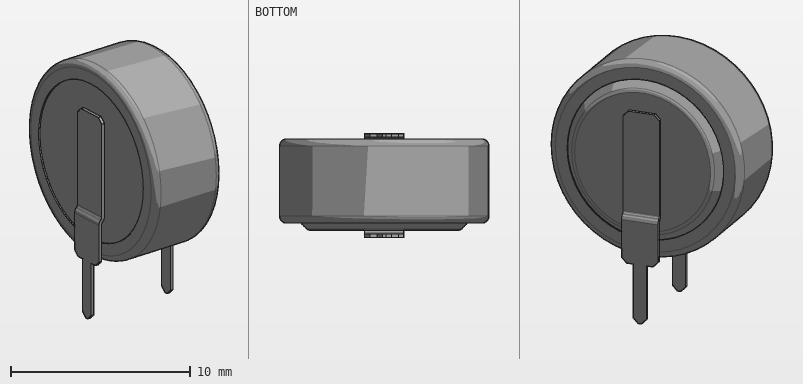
import cadquery as cq
import math


can_radius = 5.85
rim_fillet = 0.4

core_radius = 4.75
core_length = 5.0
cap_projection = 0.4
cap_edge_fillet = 0.3

sheet_thickness = 0.2
joggle_step = sheet_thickness
inner_bend_radius = sheet_thickness
bend_radius = inner_bend_radius + sheet_thickness / 2
bend_angle = math.radians(45)
terminal_width = 2.2
leg_width = 0.8
corner_chamfer = 0.3
contact_top = 3.0
joggle_top = -3.0
shoulder_bottom = -6.0
overall_height = 15.35

core_front = -core_length / 2
core_back = core_length / 2
recess_depth = sheet_thickness / 2
can_front = core_front - recess_depth
can_back = core_back - cap_projection
cap_seat = can_back - recess_depth
cap_face_radius = core_radius - (core_back - cap_seat)
leg_tip = can_radius - overall_height


def make_disc(radius):
    """Cylinder on the round axis, as long as the can."""
    return cq.Workplane("XZ", origin=(0, can_back, 0)).circle(radius).extrude(can_back - can_front)


def make_can():
    rounded = make_disc(can_radius).edges().fillet(rim_fillet)
    bore = make_disc(core_radius)
    return rounded.cut(bore).solids().val()


def make_core():
    """Cylinder with a conical, round-edged cap at the back."""
    half_section = [
        (0, core_front),
        (core_radius, core_front),
        (core_radius, cap_seat),
        (cap_face_radius, core_back),
        (0, core_back),
    ]
    core = cq.Workplane("XY").polyline(half_section).close().revolve(360, (0, 0, 0), (0, 1, 0))
    return core.faces(">Y").edges().fillet(cap_edge_fillet).solids().val()


def make_bent_strip():
    """Full-width strip lying on the front face of the core, with a 45 degree joggle outwards."""
    arc_height = bend_radius * math.sin(bend_angle)
    arc_step = bend_radius * (1 - math.cos(bend_angle))
    slope = joggle_step - 2 * arc_step
    contact_y = core_front - sheet_thickness / 2
    leg_y = contact_y - joggle_step
    joggle_bottom = joggle_top - 2 * arc_height - slope

    middle_line = (
        cq.Workplane("YZ")
        .moveTo(contact_y, contact_top)
        .lineTo(contact_y, joggle_top)
        .tangentArcPoint((contact_y - arc_step, joggle_top - arc_height), relative=False)
        .lineTo(leg_y + arc_step, joggle_bottom + arc_height)
        .tangentArcPoint((leg_y, joggle_bottom), relative=False)
        .lineTo(leg_y, leg_tip)
    )
    return (
        cq.Workplane("XY", origin=(0, contact_y, contact_top))
        .rect(terminal_width, sheet_thickness)
        .sweep(middle_line)
    )


def make_terminal_outline():
    """Block with the terminal's chamfered outline, deep enough to trim the bent strip."""
    half_width = terminal_width / 2
    half_leg = leg_width / 2
    right_side = [
        (half_width - corner_chamfer, contact_top),
        (half_width, contact_top - corner_chamfer),
        (half_width, shoulder_bottom + corner_chamfer),
        (half_width - corner_chamfer, shoulder_bottom),
        (half_leg, shoulder_bottom),
        (half_leg, leg_tip + corner_chamfer),
        (half_leg - corner_chamfer, leg_tip),
    ]
    left_side = [(-x, z) for x, z in reversed(right_side)]
    depth = sheet_thickness + joggle_step
    return (
        cq.Workplane("XZ", origin=(0, core_front, 0))
        .polyline(right_side + left_side)
        .close()
        .extrude(depth)
    )


def make_terminal(side):
    """Terminal on the front (side = -1) or, mirrored, on the back (side = 1) of the core."""
    terminal = make_bent_strip().intersect(make_terminal_outline())
    if side > 0:
        terminal = terminal.mirror("XZ")
    return terminal.solids().val()


can = make_can()
core = make_core()
terminals = []
for side in (-1, 1):
    terminals.append(make_terminal(side))

result = cq.Compound.makeCompound([can, core, *terminals])